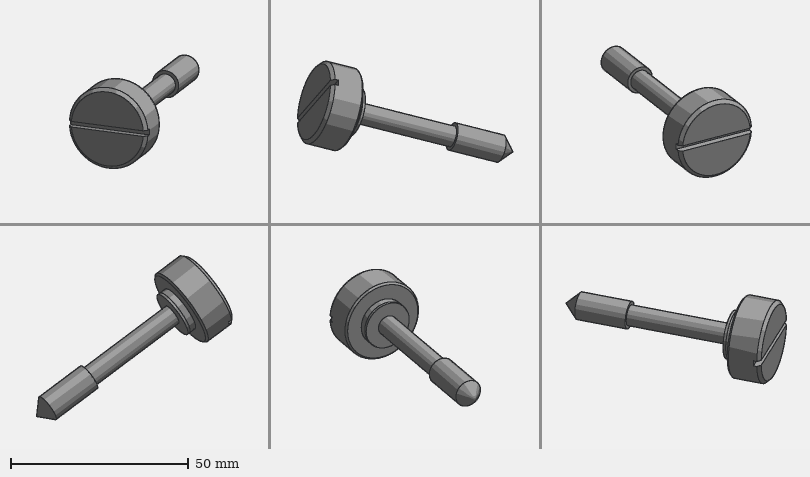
import cadquery as cq

total_length = 62.0
head_diameter = 24.0
head_length = 10.0
front_chamfer = 1.0
back_chamfer = 0.55
slot_width = 1.7
slot_depth = 2.0

collar_diameter = 14.0
collar_length = 2.0
washer_thickness = 0.8
shank_diameter = 6.0

tip_diameter = 8.0
tip_cylinder_length = 15.0
tip_cone_length = tip_diameter / 2

collar_end = head_length + collar_length
cone_start = total_length - tip_cone_length
tip_start = cone_start - tip_cylinder_length


def make_screw():
    """Turned screw with a chamfered, slotted head, a collar and a pointed tip."""
    head_radius = head_diameter / 2
    collar_radius = collar_diameter / 2
    shank_radius = shank_diameter / 2
    tip_radius = tip_diameter / 2
    half_profile = [
        (0, 0),
        (head_radius - front_chamfer, 0),
        (head_radius, front_chamfer),
        (head_radius, head_length - back_chamfer),
        (head_radius - back_chamfer, head_length),
        (collar_radius, head_length),
        (collar_radius, collar_end),
        (shank_radius, collar_end),
        (shank_radius, tip_start),
        (tip_radius, tip_start),
        (tip_radius, cone_start),
        (0, total_length),
    ]
    turned = cq.Workplane("XY").polyline(half_profile).close().revolve(360, (0, 0, 0), (0, 1, 0))

    slot = cq.Workplane("XY").box(head_diameter, slot_depth, slot_width, centered=(True, False, True))
    return turned.cut(slot)


def make_washer():
    """Flat washer around the shank, seated against the collar."""
    return (
        cq.Workplane("XZ", origin=(0, collar_end, 0))
        .circle(collar_diameter / 2)
        .circle(shank_diameter / 2)
        .extrude(-washer_thickness)
    )


screw = make_screw()
washer = make_washer()

result = cq.Compound.makeCompound([screw.val(), washer.val()])